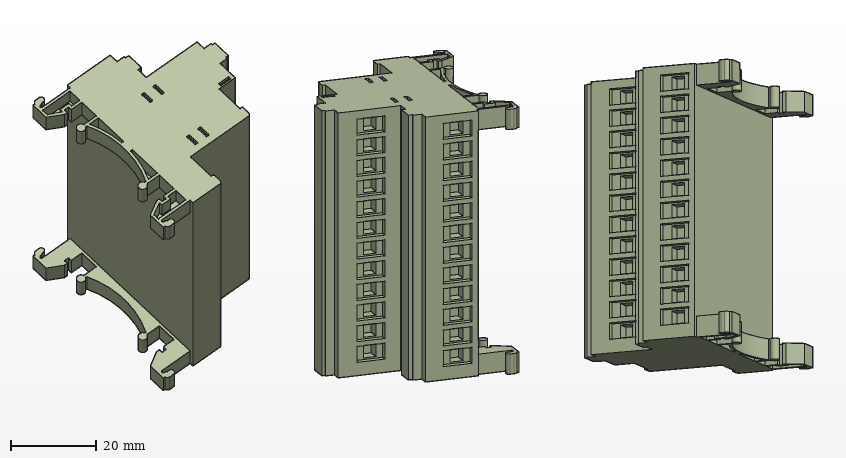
import cadquery as cq
import math

HEIGHT = 65.16
BODY_HALF = 22.5
BODY_BACK = 0.7

LOWER_SHELF = 13.95
LOWER_BLOCK_LEFT = -20.03
LOWER_BLOCK_TOP = 16.15
LOWER_CAP_LEFT = -19.55
LOWER_CAP_RIGHT = -15.05
LOWER_CAP_TOP = 17.15

UPPER_LEFT = -12.1
UPPER_SHELF = 31.85
UPPER_BLOCK_LEFT = -9.6
UPPER_BLOCK_RIGHT = -3.87
UPPER_BLOCK_TOP = 34.05
UPPER_CAP_INSET = 0.48
UPPER_CAP_TOP = 34.8
TOWER_RIGHT = 1.6

UPPER_RIGHT = 12.05
UPPER_STEP = 26.85
LOWER_STEP = 8.95
LIP_LENGTH = 3.0
LIP_HEIGHT = 0.75
LIP_ROUND = 0.7

ROWS = 12
PITCH = 5.08
FIRST_ROW_Z = 5.25
WINDOW_HEIGHT = 3.9
WINDOW_DEPTH = 1.45
WIRE_HOLE_HEIGHT = 3.1
WIRE_HOLE_DEPTH = 3.0
UPPER_WINDOW = (20.15, 27.1)
UPPER_WIRE_HOLE = (21.85, 24.9)
LOWER_WINDOW = (2.25, 9.45)
LOWER_WIRE_HOLE = (4.0, 7.2)

SLOT_LENGTH = 3.05
SLOT_WIDTH = 0.8
SLOT_DEPTH = 1.0
SLOT_COLUMNS = (-9.1, 7.05)
SLOT_LINES = (12.1, 15.6)
TOWER_SLOT_CORNER = (0.35, 27.8)

FOOT_HALF = 21.5
FOOT_DEPTH = 5.0
FOOT_FLOOR = 1.0
WALL = 0.75

CLIP_INNER = -16.5
CLIP_BOTTOM = -9.2
NOTCH_FLOOR = -17.5
NOTCH_TOP = -3.25
NOTCH_BOTTOM = -4.5
RAMP_TOP = -5.4
RAMP_FOOT = -18.7
POCKET_RAMP_TOP = -17.4
POCKET_RAMP_FOOT = -19.1

HOOK_OUTER = -24.065
HOOK_RADIUS = 0.78
HOOK_INNER = HOOK_OUTER + 2 * HOOK_RADIUS
HOOK_CENTER_Y = -6.7
HOOK_HEEL = -23.35
HOOK_OUTER_BOTTOM = -7.7
HEEL_TOP = -8.65
HEEL_BLEND = 1.0
BARB = 0.25
BARB_TOP = -7.2
BARB_BOTTOM = -8.0
GAP_BOTTOM = BARB_BOTTOM - BARB
GAP_ROUND = 0.3

LEG_OUTER = 11.3
LEG_INNER = LEG_OUTER - WALL
BALL_X = 11.05
BALL_Y = -4.95
BALL_RADIUS = 1.1
ARCH_APEX = -1.24
ARCH_RADIUS = 25.0
ARCH_CENTER = ARCH_APEX - ARCH_RADIUS
ARCH_RIB_HALF = 1.6


def box(x_range, y_range, z_range):
    sizes = [end - start for start, end in (x_range, y_range, z_range)]
    corner = (x_range[0], y_range[0], z_range[0])
    return cq.Workplane("XY").box(*sizes, centered=False).translate(corner)


def mirror_x(shape):
    return shape.mirror("YZ")


def arch_y(x, radius):
    """Y of an arch circle at a given X."""
    return ARCH_CENTER + math.sqrt(radius ** 2 - x ** 2)


def step_with_lip(outline, right, step):
    """Continue an outline along a step and over the rounded lip at its right end."""
    lip_left = right - LIP_LENGTH
    lip_top = step + LIP_HEIGHT
    return (
        outline.lineTo(lip_left, step)
        .lineTo(lip_left, lip_top)
        .lineTo(right - LIP_ROUND, lip_top)
        .radiusArc((right, lip_top - LIP_ROUND), LIP_ROUND)
    )


def make_body():
    outline = (
        cq.Workplane("XY")
        .moveTo(-BODY_HALF, BODY_BACK)
        .lineTo(-BODY_HALF, LOWER_SHELF)
        .lineTo(LOWER_BLOCK_LEFT, LOWER_SHELF)
        .lineTo(LOWER_BLOCK_LEFT, LOWER_BLOCK_TOP)
        .lineTo(LOWER_CAP_LEFT, LOWER_BLOCK_TOP)
        .lineTo(LOWER_CAP_LEFT, LOWER_CAP_TOP)
        .lineTo(LOWER_CAP_RIGHT, LOWER_CAP_TOP)
        .lineTo(LOWER_CAP_RIGHT, LOWER_BLOCK_TOP)
        .lineTo(UPPER_LEFT, LOWER_BLOCK_TOP)
        .lineTo(UPPER_LEFT, UPPER_SHELF)
        .lineTo(UPPER_BLOCK_LEFT, UPPER_SHELF)
        .lineTo(UPPER_BLOCK_LEFT, UPPER_BLOCK_TOP)
        .lineTo(UPPER_BLOCK_LEFT + UPPER_CAP_INSET, UPPER_BLOCK_TOP)
        .lineTo(UPPER_BLOCK_LEFT + UPPER_CAP_INSET, UPPER_CAP_TOP)
        .lineTo(UPPER_BLOCK_RIGHT - UPPER_CAP_INSET, UPPER_CAP_TOP)
        .lineTo(UPPER_BLOCK_RIGHT - UPPER_CAP_INSET, UPPER_BLOCK_TOP)
        .lineTo(UPPER_BLOCK_RIGHT, UPPER_BLOCK_TOP)
        .lineTo(UPPER_BLOCK_RIGHT, UPPER_SHELF)
        .lineTo(TOWER_RIGHT, UPPER_SHELF)
        .lineTo(TOWER_RIGHT, UPPER_STEP)
    )
    outline = step_with_lip(outline, UPPER_RIGHT, UPPER_STEP)
    outline = outline.lineTo(UPPER_RIGHT, LOWER_STEP)
    outline = step_with_lip(outline, BODY_HALF, LOWER_STEP)
    return outline.lineTo(BODY_HALF, BODY_BACK).close().extrude(HEIGHT)


def cut_terminal_column(body, wall_x, window, wire_hole):
    """Cut one column of windows, each with a deeper wire hole in its floor."""
    floor_x = wall_x + WINDOW_DEPTH
    hole_end = floor_x + WIRE_HOLE_DEPTH
    for row in range(ROWS):
        z = FIRST_ROW_Z + row * PITCH
        window_z = (z - WINDOW_HEIGHT / 2, z + WINDOW_HEIGHT / 2)
        hole_z = (z - WIRE_HOLE_HEIGHT / 2, z + WIRE_HOLE_HEIGHT / 2)
        body = body.cut(box((wall_x, floor_x), window, window_z))
        body = body.cut(box((floor_x, hole_end), wire_hole, hole_z))
    return body


def cut_slots(body):
    z_range = (HEIGHT - SLOT_DEPTH, HEIGHT)
    for x in SLOT_COLUMNS:
        for y in SLOT_LINES:
            body = body.cut(box((x, x + SLOT_LENGTH), (y, y + SLOT_WIDTH), z_range))
    x, y = TOWER_SLOT_CORNER
    return body.cut(box((x, x + SLOT_WIDTH), (y, y + SLOT_LENGTH), z_range))


def make_clip():
    """Left rail clip with its outer hook."""
    outline = (
        cq.Workplane("XY")
        .moveTo(-FOOT_HALF, 0)
        .lineTo(CLIP_INNER, 0)
        .lineTo(CLIP_INNER, NOTCH_TOP)
        .lineTo(NOTCH_FLOOR, NOTCH_TOP)
        .lineTo(NOTCH_FLOOR, NOTCH_BOTTOM)
        .lineTo(CLIP_INNER, NOTCH_BOTTOM)
        .lineTo(CLIP_INNER, RAMP_TOP)
        .lineTo(RAMP_FOOT, CLIP_BOTTOM)
        .lineTo(HOOK_HEEL, CLIP_BOTTOM)
        .lineTo(HOOK_HEEL, HEEL_TOP)
        .radiusArc((HOOK_OUTER, HOOK_OUTER_BOTTOM), HEEL_BLEND)
        .lineTo(HOOK_OUTER, HOOK_CENTER_Y)
        .threePointArc(
            (HOOK_OUTER + HOOK_RADIUS, HOOK_CENTER_Y + HOOK_RADIUS),
            (HOOK_INNER, HOOK_CENTER_Y),
        )
        .lineTo(HOOK_INNER, BARB_TOP)
        .lineTo(HOOK_INNER + BARB, BARB_TOP - BARB)
        .lineTo(HOOK_INNER + BARB, BARB_BOTTOM)
        .lineTo(HOOK_INNER + 2 * BARB, GAP_BOTTOM)
        .lineTo(-FOOT_HALF - GAP_ROUND, GAP_BOTTOM)
        .radiusArc((-FOOT_HALF, GAP_BOTTOM + GAP_ROUND), -GAP_ROUND)
        .close()
    )
    return outline.extrude(FOOT_DEPTH)


def make_clip_pocket():
    outline = cq.Workplane("XY").polyline([
        (-FOOT_HALF + WALL, 0),
        (CLIP_INNER - WALL, 0),
        (CLIP_INNER - WALL, NOTCH_TOP + WALL),
        (NOTCH_FLOOR - WALL, NOTCH_TOP + WALL),
        (NOTCH_FLOOR - WALL, NOTCH_BOTTOM - WALL),
        (POCKET_RAMP_TOP, NOTCH_BOTTOM - WALL),
        (POCKET_RAMP_FOOT, CLIP_BOTTOM + WALL),
        (-FOOT_HALF + WALL, CLIP_BOTTOM + WALL),
    ])
    return outline.close().extrude(FOOT_DEPTH - FOOT_FLOOR)


def make_arch():
    """Two ball-ended legs joined by a shallow arch."""
    end_y = arch_y(LEG_INNER, ARCH_RADIUS)
    outline = (
        cq.Workplane("XY")
        .moveTo(-LEG_OUTER, 0)
        .lineTo(-LEG_OUTER, BALL_Y)
        .lineTo(-LEG_INNER, BALL_Y)
        .lineTo(-LEG_INNER, end_y)
        .threePointArc((0, ARCH_APEX), (LEG_INNER, end_y))
        .lineTo(LEG_INNER, BALL_Y)
        .lineTo(LEG_OUTER, BALL_Y)
        .lineTo(LEG_OUTER, 0)
        .close()
    )
    balls = cq.Workplane("XY").pushPoints([(-BALL_X, BALL_Y), (BALL_X, BALL_Y)]).circle(BALL_RADIUS)
    return outline.extrude(FOOT_DEPTH).union(balls.extrude(FOOT_DEPTH))


def make_arch_pocket():
    """Left pocket between the housing, the leg and the arch."""
    radius = ARCH_RADIUS + WALL
    outline = (
        cq.Workplane("XY")
        .moveTo(-LEG_INNER, 0)
        .lineTo(-LEG_INNER, arch_y(LEG_INNER, radius))
        .radiusArc((-ARCH_RIB_HALF, arch_y(ARCH_RIB_HALF, radius)), radius)
        .lineTo(-ARCH_RIB_HALF, 0)
        .close()
    )
    return outline.extrude(FOOT_DEPTH - FOOT_FLOOR)


def make_foot():
    """Mounting foot at the Z = 0 end, with its pockets open towards -Z."""
    plate = box((-FOOT_HALF, FOOT_HALF), (0, BODY_BACK), (0, FOOT_DEPTH))
    clip = make_clip()
    foot = plate.union(make_arch()).union(clip).union(mirror_x(clip))
    for pocket in (make_clip_pocket(), make_arch_pocket()):
        foot = foot.cut(pocket).cut(mirror_x(pocket))
    return foot


housing = make_body()
housing = cut_terminal_column(housing, UPPER_LEFT, UPPER_WINDOW, UPPER_WIRE_HOLE)
housing = cut_terminal_column(housing, -BODY_HALF, LOWER_WINDOW, LOWER_WIRE_HOLE)
housing = cut_slots(housing)

foot = make_foot()
opposite_foot = foot.mirror("XY").translate((0, 0, HEIGHT))

result = housing.union(foot).union(opposite_foot)